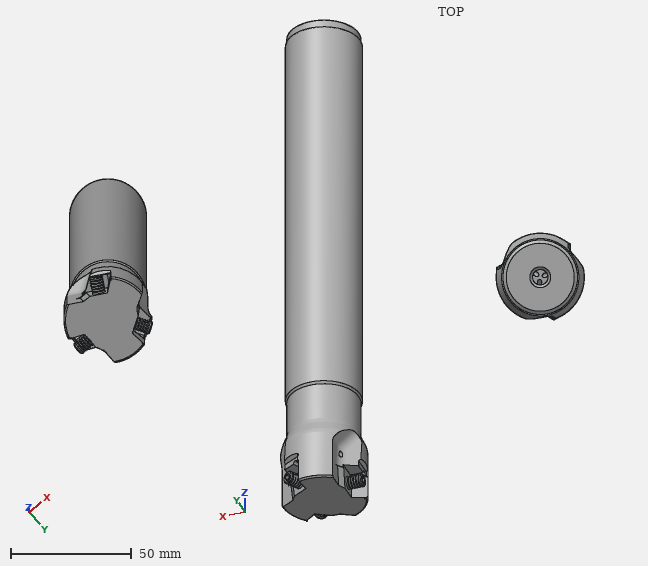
import cadquery as cq
import math

total_length = 227.0

shank_radius = 16.0
neck_radius = 15.5
shank_bottom = 48.8
shank_bottom_chamfer = 1.1
cap_length = 4.5
cap_face_radius = 14.0
cap_chamfer_height = 1.0

head_radius = 18.27
head_bottom = 0.5
head_cone_top = 29.7
head_cone_bottom = 23.4
head_blend_radius = 5.0
head_bottom_chamfer = 0.7

bore_radius = 3.2
bore_bottom = 27.2
countersink_radius = 4.3
countersink_depth = 1.1

tooth_count = 3
first_tooth_angle = 60.0
reach = 22.7

gullet_floor = 9.8
gullet_ramp_start = 19.7
gullet_ramp_angle = 55.0
gullet_floor_blend = 4.5
gullet_root_y = -8.2
gullet_edge_x = 17.3
gullet_edge_y = -4.5
gullet_wall_blend = 4.8
wall_tilt = 5.0

toe_foot_y = -8.2
toe_edge_y = -5.2
toe_lean = 9.0

seat_floor = 11.4
seat_top = 10.7
seat_wall_foot_y = 2.0
seat_wall_edge_y = 4.8
seat_wall_edge_x = 17.5
seat_relief_radius = 1.1

flat_distance = 17.0
flat_top = 13.2
flat_bevel_angle = 50.0
flat_end_y = 4.5

screw_radius = 2.7
screw_outer_end = 18.2
screw_inner_end = 6.8
screw_y = -1.5
screw_z = 5.2
screw_chamfer = 0.5
socket_size = 3.0
socket_depth = 1.8
thread_depth = 0.5
thread_pitch = 1.1
thread_turns = 5

duct_radius = 1.0
duct_start_z = bore_bottom + 2.3
duct_exit = (11.8, -9.0, 14.0)

nib_size = 0.5
nib_x = 16.5
nib_y = 4.43


def make_blank():
    """Turned holder with shank, neck, conical head and coolant bore."""
    outline = [
        (0, head_bottom),
        (head_radius - head_bottom_chamfer, head_bottom),
        (head_radius, head_bottom + head_bottom_chamfer),
        (head_radius, head_cone_bottom),
        (neck_radius, head_cone_top),
        (neck_radius, shank_bottom - shank_bottom_chamfer),
        (shank_radius, shank_bottom),
        (shank_radius, total_length - cap_length),
        (neck_radius, total_length - cap_length),
        (neck_radius, total_length - cap_chamfer_height),
        (cap_face_radius, total_length),
        (0, total_length),
    ]
    blank = cq.Workplane("XZ").polyline(outline).close().revolve(360, (0, 0), (0, 1))
    cone_ends = cq.selectors.BoxSelector(
        (-reach, -reach, head_cone_bottom - 0.2), (reach, reach, head_cone_top + 0.2), True
    )
    blank = blank.edges("%CIRCLE").edges(cone_ends).fillet(head_blend_radius)
    bore_outline = [
        (0, bore_bottom),
        (bore_radius, bore_bottom),
        (bore_radius, total_length - countersink_depth),
        (countersink_radius, total_length),
        (0, total_length),
    ]
    bore = cq.Workplane("XZ").polyline(bore_outline).close().revolve(360, (0, 0), (0, 1))
    return blank.cut(bore)


def gullet_run():
    """Space outside the flat gullet floor and its blended run-out ramp."""
    ramp_rise = (reach - gullet_floor) * math.tan(math.radians(gullet_ramp_angle))
    floor_end = cq.selectors.NearestToPointSelector((gullet_floor, 0, gullet_ramp_start))
    return (
        cq.Workplane("XZ")
        .moveTo(gullet_floor, -reach)
        .lineTo(gullet_floor, gullet_ramp_start)
        .lineTo(reach, gullet_ramp_start + ramp_rise)
        .lineTo(reach, -reach)
        .close()
        .extrude(reach, both=True)
        .edges(floor_end)
        .fillet(gullet_floor_blend)
    )


def gullet_side():
    """Space in front of the flat, leaning gullet wall."""
    wall_slope = (gullet_edge_y - gullet_root_y) / (gullet_edge_x - gullet_floor)
    return (
        cq.Workplane("XY")
        .moveTo(0, gullet_root_y - gullet_floor * wall_slope)
        .lineTo(reach, gullet_root_y + (reach - gullet_floor) * wall_slope)
        .lineTo(reach, -reach)
        .lineTo(0, -reach)
        .close()
        .extrude(2 * reach, both=True)
        .rotate((0, 0, seat_top), (1, 0, seat_top), -wall_tilt)
    )


def gullet_cutter():
    """Chip gullet whose wall is blended into the floor and the run-out ramp."""
    wall_root = cq.selectors.NearestToPointSelector((gullet_floor, gullet_root_y, 0))
    return gullet_run().intersect(gullet_side()).edges(wall_root).fillet(gullet_wall_blend)


def toe_cutter():
    """Leaning bevel that joins the gullet floor to the seat floor."""
    return (
        cq.Workplane("XY")
        .moveTo(gullet_floor, toe_foot_y)
        .lineTo(seat_floor, toe_edge_y)
        .lineTo(seat_floor, -reach)
        .lineTo(gullet_floor, -reach)
        .close()
        .extrude(seat_top)
        .rotate((0, 0, 0), (1, 0, 0), toe_lean)
    )


def seat_cutter():
    """Seat with a flat floor, a leaning back wall and a relieved inner corner."""
    wall_slope = (seat_wall_edge_y - seat_wall_foot_y) / (seat_wall_edge_x - seat_floor)
    seat = (
        cq.Workplane("XY", origin=(0, 0, -reach))
        .moveTo(seat_floor, -reach)
        .lineTo(seat_floor, seat_wall_foot_y)
        .lineTo(reach, seat_wall_foot_y + (reach - seat_floor) * wall_slope)
        .lineTo(reach, -reach)
        .close()
        .extrude(reach + seat_top)
    )
    relief = (
        cq.Workplane("YZ", origin=(seat_floor, seat_wall_foot_y, seat_top))
        .circle(seat_relief_radius)
        .extrude(reach)
    )
    return seat.union(relief)


def flat_cutter():
    """Shallow flat above the seat, ending upward in a bevel."""
    bevel_rise = (reach - flat_distance) * math.tan(math.radians(flat_bevel_angle))
    return (
        cq.Workplane("XZ", origin=(0, flat_end_y, 0))
        .moveTo(flat_distance, 0)
        .lineTo(flat_distance, flat_top)
        .lineTo(reach, flat_top + bevel_rise)
        .lineTo(reach, 0)
        .close()
        .extrude(2 * flat_end_y)
    )


def screw_plane(distance):
    return cq.Workplane("YZ", origin=(distance, screw_y, screw_z))


def thread_groove(groove_x):
    """V-shaped ring that is cut into the screw, centred on groove_x."""
    half_width = thread_pitch / 2
    return (
        cq.Workplane("XY", origin=(groove_x, screw_y, screw_z))
        .moveTo(-half_width, screw_radius)
        .lineTo(0, screw_radius - thread_depth)
        .lineTo(half_width, screw_radius)
        .close()
        .revolve(360, (0, 0), (1, 0))
    )


def make_screw():
    """Screw with a chamfered outer end, a hexagon socket and thread rings above the seat."""
    screw = screw_plane(screw_inner_end).circle(screw_radius).extrude(screw_outer_end - screw_inner_end)
    screw = screw.faces(">X").chamfer(screw_chamfer)
    socket = screw_plane(screw_outer_end).polygon(6, socket_size).extrude(-socket_depth)
    screw = screw.cut(socket)
    for turn in range(thread_turns):
        groove_x = seat_floor + (turn + 0.5) * thread_pitch
        screw = screw.cut(thread_groove(groove_x))
    return screw


def screw_hole():
    return screw_plane(screw_inner_end).circle(screw_radius).extrude(seat_floor - screw_inner_end)


def duct_cutter():
    """Slanted coolant duct."""
    start = cq.Vector(0, 0, duct_start_z)
    path = cq.Vector(*duct_exit) - start
    return cq.Workplane(cq.Solid.makeCylinder(duct_radius, path.Length, start, path))


def make_nib():
    """Block under the head, reaching the lowest level of the tool."""
    return (
        cq.Workplane("XY")
        .center(nib_x, nib_y)
        .rect(nib_size, nib_size)
        .extrude(head_bottom + head_bottom_chamfer)
    )


def turned(shape, index):
    angle = first_tooth_angle + index * 360 / tooth_count
    return shape.rotate((0, 0, 0), (0, 0, 1), angle)


holder = make_blank()
screws = []
tooth_cutters = [gullet_cutter(), toe_cutter(), seat_cutter(), flat_cutter(), screw_hole(), duct_cutter()]
for tooth in range(tooth_count):
    holder = holder.union(turned(make_nib(), tooth))
    for cutter in tooth_cutters:
        holder = holder.cut(turned(cutter, tooth))
    screws.append(turned(make_screw(), tooth).val())

result = cq.Compound.makeCompound([holder.val(), *screws])